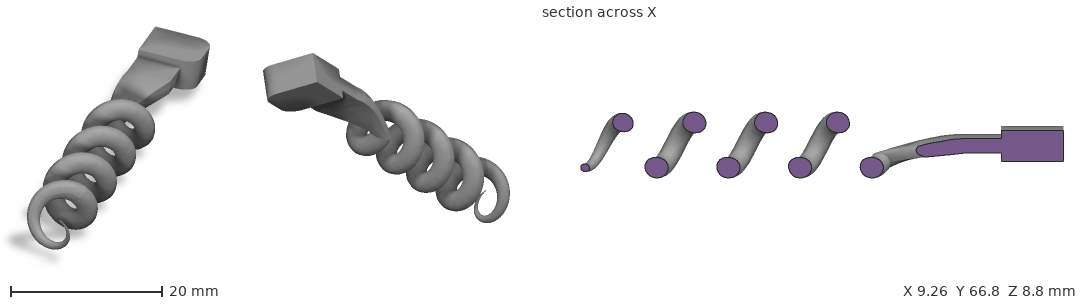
import cadquery as cq
import math

WORM_END = 66.7

TILT = 8.7
HEAD_WIDTH = 8.15
HEAD_HEIGHT = 4.15
HEAD_LENGTH = 8.3
HEAD_CORNER_RADIUS = 2.3
HEAD_LEFT = -3.55
HEAD_MIDDLE_Z = -0.1
NECK_WIDTH = 5.95
NECK_HEIGHT = 1.95
NECK_LENGTH = 4.7
NECK_END_Y = -HEAD_LENGTH - NECK_LENGTH

WIRE_RADIUS = 1.4
COIL_RADIUS = 3.0
PITCH = 9.5
TIP_RADIUS = 0.1
TIP_ANGLE = 44.0
FULL_WIRE_TURNS = 3.5
TAPER_TURNS = 1.0
TAPER_STEPS = 16
TIP_Y = -WORM_END
TAPER_START_Y = TIP_Y + PITCH * TAPER_TURNS
WORM_START_Y = TAPER_START_Y + PITCH * FULL_WIRE_TURNS

SHANK_MIDDLE_CENTER = (-1.9, -19.55, -0.7)
SHANK_MIDDLE_DIRECTION = (-0.1, -1, -0.2)
SHANK_MIDDLE_WIDTH = 3.6
SHANK_MIDDLE_HEIGHT = 1.6
SHANK_MIDDLE_BULGE = 0.3

tilt_radians = math.radians(TILT)
WIDTH_DIRECTION = (math.cos(tilt_radians), 0, -math.sin(tilt_radians))


def tilted_plane(y):
    """Plane across the Y axis whose local x runs along the tilted head width."""
    return cq.Plane(origin=(0, y, HEAD_MIDDLE_Z), xDir=WIDTH_DIRECTION, normal=(0, -1, 0))


def bar(start_y, length, width, height):
    """Tilted bar whose left face is flush with the left face of the head."""
    return (
        cq.Workplane(tilted_plane(start_y))
        .center(HEAD_LEFT + width / 2, 0)
        .rect(width, height)
        .extrude(length)
    )


def make_head():
    head = bar(0, HEAD_LENGTH, HEAD_WIDTH, HEAD_HEIGHT)
    upright = cq.Vector(-WIDTH_DIRECTION[2], 0, WIDTH_DIRECTION[0])
    upright_edges = head.edges(cq.selectors.ParallelDirSelector(upright))
    return upright_edges.edges(">X").fillet(HEAD_CORNER_RADIUS)


def worm_point(y):
    angle = math.radians(TIP_ANGLE) - 2 * math.pi * (y - TIP_Y) / PITCH
    return cq.Vector(COIL_RADIUS * math.cos(angle), y, COIL_RADIUS * math.sin(angle))


def worm_direction(y):
    """Direction of the wire, heading for the tip."""
    point = worm_point(y)
    return cq.Vector(-point.z, -PITCH / (2 * math.pi), point.x)


def wire_circle(y, radius):
    return cq.Wire.makeCircle(radius, worm_point(y), worm_direction(y))


def make_full_wire():
    length = WORM_START_Y - TAPER_START_Y
    start = worm_point(WORM_START_Y)
    start_angle = math.degrees(math.atan2(start.z, start.x))
    path = (
        cq.Wire.makeHelix(PITCH, length, COIL_RADIUS)
        .rotate(cq.Vector(), cq.Vector(0, 0, 1), start_angle)
        .rotate(cq.Vector(), cq.Vector(1, 0, 0), 90)
        .translate(cq.Vector(0, WORM_START_Y, 0))
    )
    return cq.Solid.sweep(wire_circle(WORM_START_Y, WIRE_RADIUS), [], path, True, True)


def make_taper():
    sections = []
    for step in range(TAPER_STEPS + 1):
        fraction = step / TAPER_STEPS
        y = TAPER_START_Y + fraction * (TIP_Y - TAPER_START_Y)
        radius = WIRE_RADIUS + fraction * (TIP_RADIUS - WIRE_RADIUS)
        sections.append(wire_circle(y, radius))
    return cq.Solid.makeLoft(sections)


def bulged_rectangle(plane, width, height, bulge):
    """Rectangle centred on the plane, each side bowed outward by the bulge."""
    x = width / 2
    z = height / 2
    outline = cq.Workplane(plane).moveTo(-x, -z)
    if bulge == 0:
        outline = outline.lineTo(x, -z).lineTo(x, z).lineTo(-x, z).close()
    else:
        outline = (
            outline.threePointArc((0, -z - bulge), (x, -z))
            .threePointArc((x + bulge, 0), (x, z))
            .threePointArc((0, z + bulge), (-x, z))
            .threePointArc((-x - bulge, 0), (-x, -z))
            .close()
        )
    return outline.wire().val()


def section_plane(center, direction):
    """Plane across a direction, its local x kept close to the tilted width."""
    normal = cq.Vector(*direction).normalized()
    width = cq.Vector(*WIDTH_DIRECTION)
    return cq.Plane(origin=center, xDir=width - normal * width.dot(normal), normal=normal)


def make_shank():
    neck_center = tilted_plane(NECK_END_Y).toWorldCoords((HEAD_LEFT + NECK_WIDTH / 2, 0))
    neck_plane = section_plane(neck_center, (0, -1, 0))
    middle_plane = section_plane(SHANK_MIDDLE_CENTER, SHANK_MIDDLE_DIRECTION)
    wire_plane = section_plane(worm_point(WORM_START_Y), worm_direction(WORM_START_Y).toTuple())
    inscribed_side = WIRE_RADIUS * math.sqrt(2)
    circle_bulge = WIRE_RADIUS - inscribed_side / 2
    sections = [
        bulged_rectangle(neck_plane, NECK_WIDTH, NECK_HEIGHT, 0),
        bulged_rectangle(middle_plane, SHANK_MIDDLE_WIDTH, SHANK_MIDDLE_HEIGHT, SHANK_MIDDLE_BULGE),
        bulged_rectangle(wire_plane, inscribed_side, inscribed_side, circle_bulge),
    ]
    return cq.Solid.makeLoft(sections)


neck = bar(-HEAD_LENGTH, NECK_LENGTH, NECK_WIDTH, NECK_HEIGHT)
result = make_head().union(neck).union(make_shank()).union(make_full_wire()).union(make_taper())